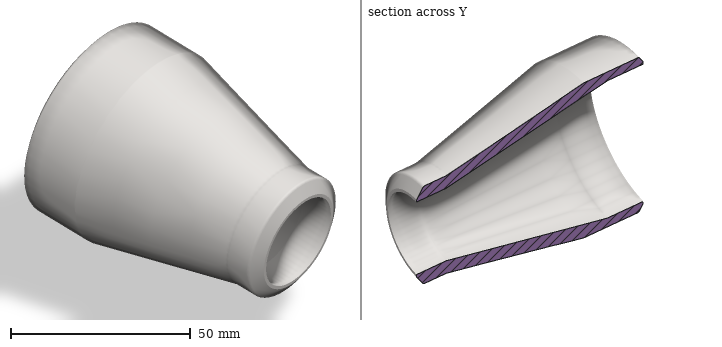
import cadquery as cq
import math

length = 76.0
large_diameter = 60.3
small_diameter = 38.0
large_bore = 53.1
small_bore = 28.0

large_end = 20.0
small_end = 10.0

large_bore_end = 12.0

corner_radius = 1.0

large_land = 1.0
small_land = 1.0
bevel_angle = 30.0

large_radius = large_diameter / 2
small_radius = small_diameter / 2
large_bore_radius = large_bore / 2
small_bore_radius = small_bore / 2


def bevel_depth(outer_radius, bore_radius, land):
    """Axial depth of the bevel that leaves the given land around the bore."""
    return (outer_radius - bore_radius - land) * math.tan(math.radians(bevel_angle))


large_bevel = bevel_depth(large_radius, large_bore_radius, large_land)
small_bevel = bevel_depth(small_radius, small_bore_radius, small_land)

x_large_face = -length / 2
x_small_face = length / 2
x_cone_start = x_large_face + large_end
x_cone_end = x_small_face - small_end
x_bore_taper_start = x_large_face + large_bore_end

half_section = (
    cq.Workplane("XY")
    .moveTo(x_large_face, large_bore_radius)
    .lineTo(x_large_face, large_bore_radius + large_land)
    .lineTo(x_large_face + large_bevel, large_radius)
    .lineTo(x_cone_start, large_radius)
    .lineTo(x_cone_end, small_radius)
    .lineTo(x_small_face - small_bevel, small_radius)
    .lineTo(x_small_face, small_bore_radius + small_land)
    .lineTo(x_small_face, small_bore_radius)
    .lineTo(x_cone_end, small_bore_radius)
    .lineTo(x_bore_taper_start, large_bore_radius)
    .close()
)

reducer = half_section.revolve(360, (0, 0, 0), (1, 0, 0))

outer_corners = [
    (x_large_face + large_bevel, large_radius),
    (x_cone_start, large_radius),
    (x_cone_end, small_radius),
    (x_small_face - small_bevel, small_radius),
]
search_tolerance = 0.1


def ring_edges(body, x, radius):
    """Circular edges of the body at a given station and radius."""
    near_station = cq.selectors.BoxSelector(
        (x - search_tolerance, -large_diameter, -large_diameter),
        (x + search_tolerance, large_diameter, large_diameter),
        boundingbox=False,
    )
    return [
        edge
        for edge in body.edges("%CIRCLE").edges(near_station).vals()
        if abs(edge.radius() - radius) < search_tolerance
    ]


corner_edges = []
for x, radius in outer_corners:
    corner_edges += ring_edges(reducer, x, radius)

result = reducer.newObject(corner_edges).fillet(corner_radius)